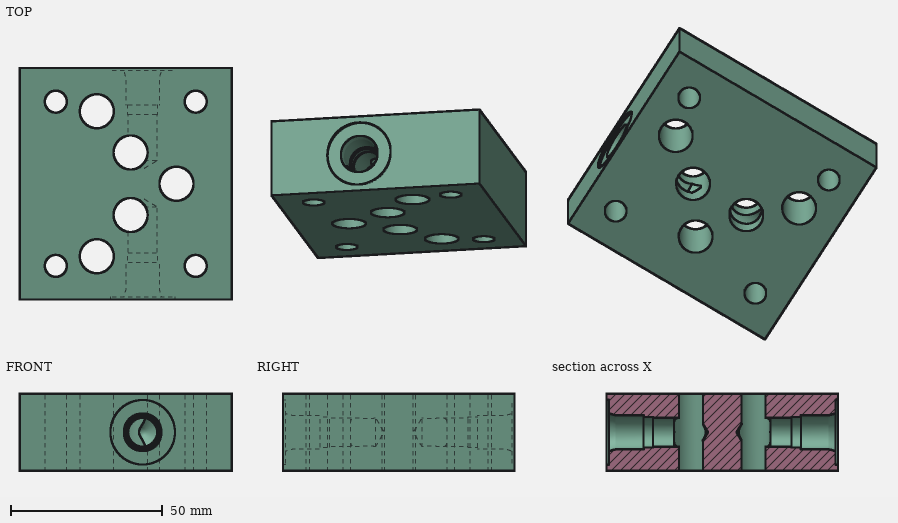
import cadquery as cq
import math

LENGTH_X = 69.9
LENGTH_Y = 76.2
HEIGHT = 25.4

BOLT_DIAMETER = 7.2
BOLT_SPACING_X = 46.0
BOLT_SPACING_Y = 54.0

PASSAGE_DIAMETER = 11.1
PRESSURE_X = 16.7
WORK_X = 1.6
WORK_Y = 10.3
TANK_X = -9.5
TANK_Y = 23.85

PORT_X = 5.6
SPOTFACE_DIAMETER = 21.25
SPOTFACE_DEPTH = 0.8
SEAL_CONE_DIAMETER = 12.4
SEAL_CONE_LENGTH = 2.4
THREAD_DIAMETER = 11.1
THREAD_DEPTH = 12.2
TAP_DRILL_DIAMETER = 9.9
TAP_DRILL_DEPTH = 15.25
DRILL_DIAMETER = 9.5
DRILL_DEPTH = 30.5
DRILL_POINT_ANGLE = 118


def vertical_holes(points, diameter):
    """Cylinders through the full height of the block."""
    base = cq.Workplane("XY", origin=(0, 0, -HEIGHT / 2))
    return base.pushPoints(points).circle(diameter / 2).extrude(HEIGHT)


def side_port():
    """Stepped port cutter entering the -Y end face, revolved about its own axis."""
    point_length = DRILL_DIAMETER / 2 / math.tan(math.radians(DRILL_POINT_ANGLE / 2))
    seal_cone_end = SPOTFACE_DEPTH + SEAL_CONE_LENGTH
    profile = [
        (0, 0),
        (SPOTFACE_DIAMETER / 2, 0),
        (SPOTFACE_DIAMETER / 2, SPOTFACE_DEPTH),
        (SEAL_CONE_DIAMETER / 2, SPOTFACE_DEPTH),
        (THREAD_DIAMETER / 2, seal_cone_end),
        (THREAD_DIAMETER / 2, THREAD_DEPTH),
        (TAP_DRILL_DIAMETER / 2, THREAD_DEPTH),
        (TAP_DRILL_DIAMETER / 2, TAP_DRILL_DEPTH),
        (DRILL_DIAMETER / 2, TAP_DRILL_DEPTH),
        (DRILL_DIAMETER / 2, DRILL_DEPTH),
        (0, DRILL_DEPTH + point_length),
    ]
    half_section = cq.Workplane("XY", origin=(PORT_X, -LENGTH_Y / 2, 0)).polyline(profile).close()
    return half_section.revolve(360, (0, 0), (0, 1))


bolt_points = [
    (side_x * BOLT_SPACING_X / 2, side_y * BOLT_SPACING_Y / 2)
    for side_x in (-1, 1)
    for side_y in (-1, 1)
]
passage_points = [(PRESSURE_X, 0)]
for side in (-1, 1):
    passage_points.append((WORK_X, side * WORK_Y))
    passage_points.append((TANK_X, side * TANK_Y))

front_port = side_port()

result = (
    cq.Workplane("XY")
    .box(LENGTH_X, LENGTH_Y, HEIGHT)
    .cut(vertical_holes(bolt_points, BOLT_DIAMETER))
    .cut(vertical_holes(passage_points, PASSAGE_DIAMETER))
    .cut(front_port)
    .cut(front_port.mirror("XZ"))
)